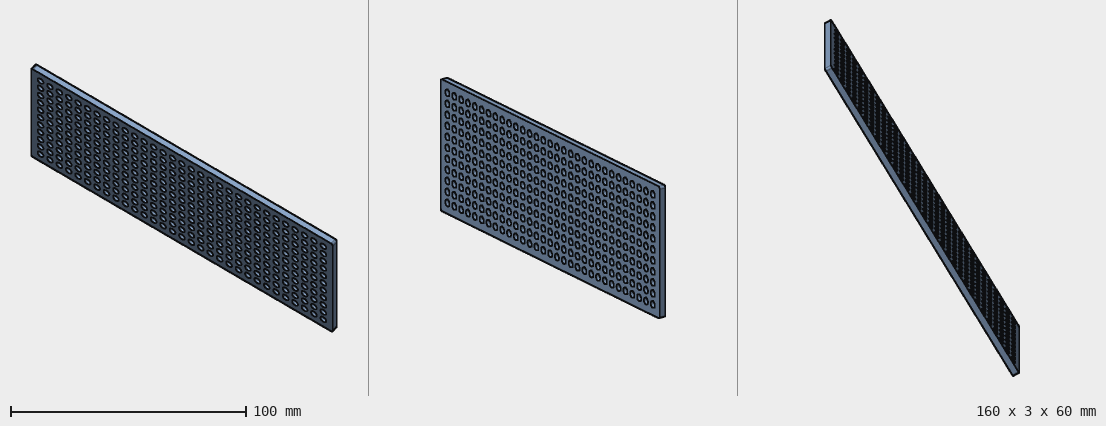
import cadquery as cq

length = 160.0
thickness = 3.0
height = 60.0
corner_radius = 1.0

columns = 31
rows = 11
hole_diameter = 3.0
pitch = length / (columns + 1)


def make_plate():
    """Flat plate with its four corners rounded."""
    return cq.Workplane("XY").box(length, thickness, height).edges("|Y").fillet(corner_radius)


def drill_grid(plate):
    """Drill the grid of holes through the thickness."""
    return (
        plate.faces("<Y")
        .workplane(origin=(0, 0, 0))
        .rarray(pitch, pitch, columns, rows)
        .hole(hole_diameter)
    )


result = drill_grid(make_plate())